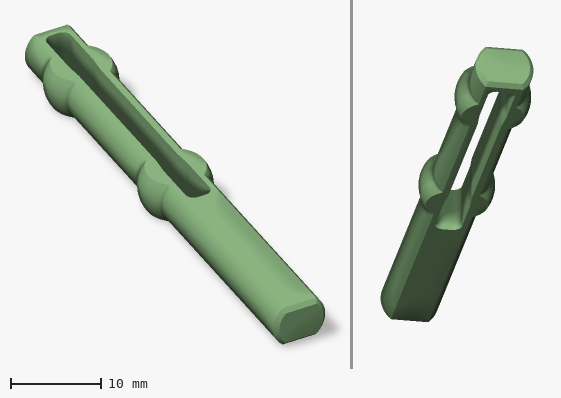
import cadquery as cq

rod_length = 59.4
rod_diameter = 6.55
flat_thickness = 5.0
end_chamfer = 0.5

ball_diameter = 8.55
first_ball_x = 7.65
ball_spacing = 22.15
second_ball_x = first_ball_x + ball_spacing

slot_start_x = 1.4
slot_end_x = 36.0
slot_width = 3.0
waist_width = 2.7
slot_corner_radius = 1.0
taper_length = 2.0


def slab(length, width):
    """Block centred on the rod axis, as thick as the distance between the flats."""
    return cq.Workplane("XY").box(length, width, flat_thickness, centered=(False, True, True))


def make_rod():
    round_bar = cq.Workplane("YZ").circle(rod_diameter / 2).extrude(rod_length)
    flattened = round_bar.intersect(slab(rod_length, rod_diameter))
    return flattened.faces("<X or >X").chamfer(end_chamfer)


def make_ball(x):
    ball = cq.Workplane("XY").sphere(ball_diameter / 2).translate((x, 0, 0))
    return ball.intersect(slab(rod_length, ball_diameter))


def make_slot():
    """Through slot whose side walls taper to a waist, starting at each bulge centre."""
    half_width = slot_width / 2
    half_waist = waist_width / 2
    upper_wall = [
        (slot_start_x, half_width),
        (first_ball_x, half_width),
        (first_ball_x + taper_length, half_waist),
        (second_ball_x - taper_length, half_waist),
        (second_ball_x, half_width),
        (slot_end_x, half_width),
    ]
    lower_wall = [(x, -y) for x, y in reversed(upper_wall)]
    outline = cq.Workplane("XY").polyline(upper_wall + lower_wall).close()
    cutter = outline.extrude(flat_thickness, both=True)
    return cutter.faces("<X or >X").edges("|Z").fillet(slot_corner_radius)


body = make_rod()
for ball_x in (first_ball_x, second_ball_x):
    body = body.union(make_ball(ball_x))

result = body.cut(make_slot())